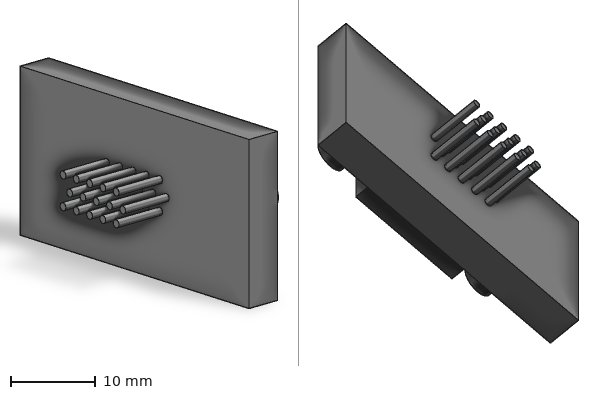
import cadquery as cq

plate_width = 39.4
plate_height = 21.0
plate_thickness = 4.65

back_height = 5.0
block_width = 16.3
block_height = 7.95
post_diameter = 4.18
post_spacing = 24.95

pin_length = 7.1
pin_diameter = 1.0
pin_pitch = 2.3
pin_row_spacing = 1.97
pins_per_row = 5
pin_field_centre_x = 0.3

back_face_y = plate_thickness / 2
front_face_y = -plate_thickness / 2


def cylinder_along_y(x, z, start_y, diameter, length):
    """Solid cylinder from start_y; a negative length runs toward -Y."""
    direction = cq.Vector(0, 1 if length > 0 else -1, 0)
    return cq.Solid.makeCylinder(diameter / 2, abs(length), cq.Vector(x, start_y, z), direction)


def pin_positions():
    """X and Z of every pin; outer rows lie a quarter pitch left, the middle row right."""
    first_pin_offset = -(pins_per_row - 1) / 2 * pin_pitch
    positions = []
    for row in (-1, 0, 1):
        row_shift = pin_pitch / 4 if row == 0 else -pin_pitch / 4
        for index in range(pins_per_row):
            x = pin_field_centre_x + row_shift + first_pin_offset + index * pin_pitch
            positions.append((x, row * pin_row_spacing))
    return positions


result = cq.Workplane("XY").box(plate_width, plate_thickness, plate_height)

block = cq.Workplane("XY").box(block_width, back_height, block_height)
block_centre_y = back_face_y + back_height / 2
result = result.union(block.translate((0, block_centre_y, 0)))

for side in (-1, 1):
    post_x = side * post_spacing / 2
    result = result.union(cylinder_along_y(post_x, 0, back_face_y, post_diameter, back_height))

for pin_x, pin_z in pin_positions():
    result = result.union(cylinder_along_y(pin_x, pin_z, front_face_y, pin_diameter, -pin_length))